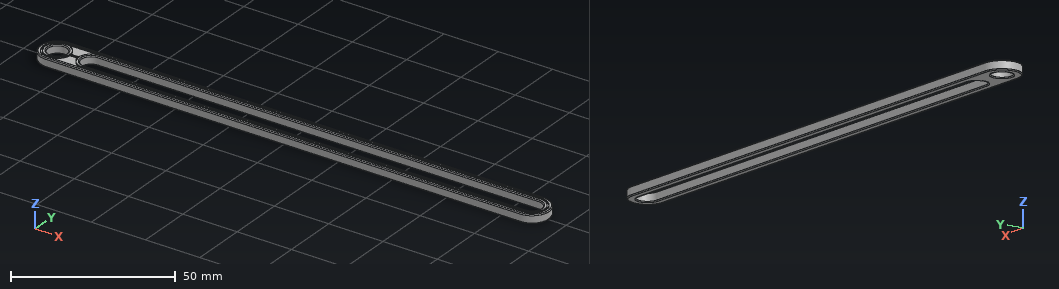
import cadquery as cq

length = 187.5
width = 12.5
thickness = 3.2

outer_radius = width / 2
opening_radius = 7.0 / 2
eye_x = -length / 2 + outer_radius
eye_to_slot = 12.4
slot_start_x = eye_x + eye_to_slot
slot_end_x = length / 2 - outer_radius

recess_depth = 0.4
opening_rim_radius = 9.2 / 2
outer_rim_width = opening_rim_radius - opening_radius
bridge_rib_width = 0.4
edge_chamfer = 0.34


def stadium(start_x, end_x, radius, height):
    """Bar with round ends centred on start_x and end_x, standing on the XY plane."""
    span = end_x - start_x
    return (
        cq.Workplane("XY")
        .center((start_x + end_x) / 2, 0)
        .slot2D(span + 2 * radius, 2 * radius)
        .extrude(height)
    )


def eye_cylinder(radius, height):
    """Cylinder on the axis of the round eye."""
    return cq.Workplane("XY").center(eye_x, 0).circle(radius).extrude(height)


def link_blank():
    """Bar with the eye and the long slot cut through, all rim edges chamfered."""
    blank = stadium(eye_x, slot_end_x, outer_radius, thickness)
    blank = blank.cut(eye_cylinder(opening_radius, thickness))
    blank = blank.cut(stadium(slot_start_x, slot_end_x, opening_radius, thickness))
    return blank.faces("<Z or >Z").edges().chamfer(edge_chamfer)


def top_recess():
    """Shallow volume between the outer rim, the opening rims and the bridge rib."""
    recess = stadium(eye_x, slot_end_x, outer_radius - outer_rim_width, recess_depth)
    recess = recess.cut(eye_cylinder(opening_rim_radius, recess_depth))
    recess = recess.cut(stadium(slot_start_x, slot_end_x, opening_rim_radius, recess_depth))
    bridge_rib = (
        cq.Workplane("XY")
        .center((eye_x + slot_start_x) / 2, 0)
        .rect(eye_to_slot, bridge_rib_width)
        .extrude(recess_depth)
    )
    recess = recess.cut(bridge_rib)
    return recess.translate((0, 0, thickness - recess_depth))


result = link_blank().cut(top_recess())